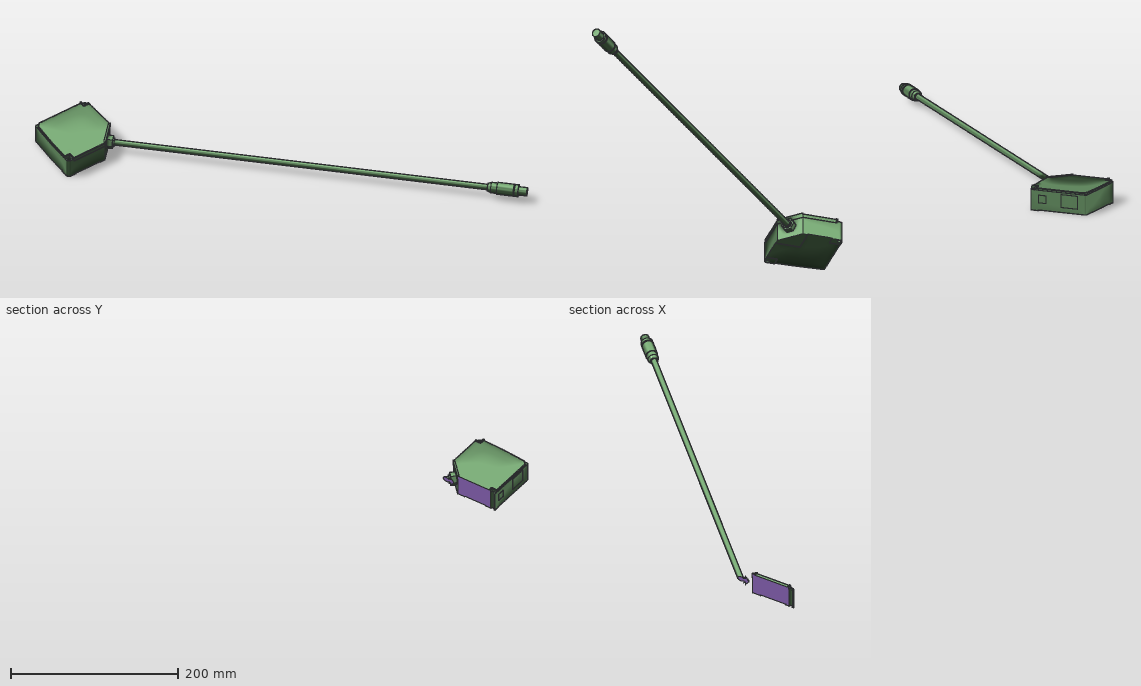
import cadquery as cq
import math

total_x = 427.0
total_y = 430.0
total_z = 29.0

housing_x = 75.0
housing_y = 78.0
corner_cut = 24.0
front_left_y = 4.5
crease_x = 37.5
crease_y = 1.5
front_flat_x = 70.0
screw_corner_round = 4.5
front_left_round = 1.7

foot_height = 1.0
back_foot_x = 13.8
front_foot_y = 11.0
cable_foot_x = 44.5
cable_foot_y = 46.5

lid_base_z = 25.5
lid_top_z = 28.0
lid_inset = 0.2
lid_overhang = 0.65
lid_corner_cut = 5.0
lid_bevel = 1.0
skirt_base_z = 23.0
cable_rim_width = 2.0

pocket_side = 6.5
rim_side = 8.0
screw_diameter = 4.5
screw_inset = 4.0
screw_corners = [(0, housing_y), (housing_x, 0)]

windows = [(26.2, 15.0, 21.0, 16.0), (61.5, 14.5, 9.5, 9.5)]
window_depth = 0.2

axis_z = 14.5
cable_radius = 3.5
nut_corner_diameter = 16.5
nut_length = 7.0
gland_ring_radius = 5.0
gland_ring_length = 1.7
gland_root = 4.5

tip_radius = 5.0
neck_radius = 6.5
plug_stages = [
    (tip_radius, 10.5),
    (7.5, 4.5),
    (7.0, 1.5),
    (7.5, 20.2),
    (neck_radius, 7.5),
]
taper_radius = 4.7
taper_length = 4.5

diagonal = math.sqrt(0.5)
tip_x = total_x - tip_radius * diagonal
tip_y = total_y - tip_radius * diagonal
cut_wall_distance = (tip_x + tip_y - housing_x - housing_y + corner_cut) * diagonal


def slab(points, bottom, top):
    """Vertical prism over a closed outline."""
    return cq.Workplane("XY").workplane(offset=bottom).polyline(points).close().extrude(top - bottom)


def block(x_range, y_range, z_range):
    """Axis-aligned box between limits."""
    (x0, x1), (y0, y1) = x_range, y_range
    return slab([(x0, y0), (x1, y0), (x1, y1), (x0, y1)], *z_range)


def corner_block(corner, side, bottom, top):
    """Square block centred on a corner, so one quarter of it lies inside."""
    x, y = corner
    return block((x - side, x + side), (y - side, y + side), (bottom, top))


def round_corner(body, corner, radius):
    """Round the vertical edge nearest to a corner."""
    nearest = cq.selectors.NearestToPointSelector((*corner, lid_base_z / 2))
    return body.edges("|Z").edges(nearest).fillet(radius)


def housing_prism(bottom, top):
    """Prism over the housing outline with sharp corners."""
    outline = [
        (0, front_left_y),
        (crease_x, crease_y),
        (front_flat_x, 0),
        (housing_x, 0),
        (housing_x, housing_y - corner_cut),
        (housing_x - corner_cut, housing_y),
        (0, housing_y),
    ]
    return slab(outline, bottom, top)


def make_body():
    body = housing_prism(0, lid_base_z)
    body = round_corner(body, (0, front_left_y), front_left_round)
    for corner in screw_corners:
        body = round_corner(body, corner, screw_corner_round)
    return body


def cut_underside(body):
    """Recess the underside so that only the three feet reach the bottom."""
    height = (0, foot_height)
    recess = block((0, housing_x), (0, housing_y), height)
    feet = [
        block((0, back_foot_x), (housing_y - front_foot_y, housing_y), height),
        block((housing_x - back_foot_x, housing_x), (0, front_foot_y), height),
        block((cable_foot_x, housing_x), (cable_foot_y, housing_y), height),
    ]
    for foot in feet:
        recess = recess.cut(foot)
    return body.cut(recess)


def make_lid():
    right = housing_x + lid_overhang
    back = housing_y + lid_overhang
    cut_start = (right, housing_y - corner_cut)
    cut_end = (housing_x - corner_cut, back)
    front_left = front_left_y + lid_inset
    plate = slab(
        [
            (lid_inset, front_left + lid_corner_cut),
            (lid_inset + lid_corner_cut, front_left),
            (crease_x, crease_y + lid_inset),
            (front_flat_x, lid_inset),
            (right, lid_inset),
            cut_start,
            cut_end,
            (lid_inset, back),
        ],
        lid_base_z,
        lid_top_z,
    ).faces(">Z").edges().chamfer(lid_bevel)

    skirt = slab(
        [(right, rim_side), cut_start, cut_end, (rim_side, back)],
        skirt_base_z,
        lid_base_z,
    )
    rim_step = cable_rim_width / diagonal
    cable_rim = slab(
        [
            cut_start,
            cut_end,
            (cut_end[0], cut_end[1] - rim_step),
            (cut_start[0] - rim_step, cut_start[1]),
        ],
        lid_base_z,
        total_z,
    )
    lid = plate.union(skirt).union(cable_rim)
    for corner in screw_corners:
        rim = corner_block(corner, rim_side, lid_base_z, total_z)
        lid = lid.union(rim.intersect(housing_prism(lid_base_z, total_z)))
    return lid


def cut_screw_corners(housing):
    for x, y in screw_corners:
        housing = housing.cut(corner_block((x, y), pocket_side, lid_base_z, total_z))
        hole_x = x + math.copysign(screw_inset, housing_x / 2 - x)
        hole_y = y + math.copysign(screw_inset, housing_y / 2 - y)
        hole = cq.Workplane("XY").center(hole_x, hole_y).circle(screw_diameter / 2).extrude(total_z)
        housing = housing.cut(hole)
    return housing


def cut_windows(housing):
    for y, z, length, height in windows:
        window = cq.Workplane("XY").box(2 * window_depth, length, height)
        housing = housing.cut(window.translate((0, y, z)))
    return housing


def along_axis(distance):
    """Plane across the cable axis, facing the housing, at a distance from the plug's tip."""
    origin = (tip_x - distance * diagonal, tip_y - distance * diagonal, axis_z)
    return cq.Workplane(cq.Plane(origin=origin, xDir=(1, -1, 0), normal=(-1, -1, 0)))


def make_plug():
    plug = cq.Workplane("XY")
    distance = 0
    for radius, length in plug_stages:
        plug = plug.add(along_axis(distance).circle(radius).extrude(length))
        distance += length
    taper_start = along_axis(distance).circle(neck_radius)
    taper = taper_start.workplane(offset=taper_length).circle(taper_radius).loft()
    return plug.add(taper).combine()


def make_gland():
    nut_start = cut_wall_distance - nut_length
    nut = along_axis(nut_start).polygon(6, nut_corner_diameter).extrude(nut_length + gland_root)
    ring = along_axis(nut_start - gland_ring_length).circle(gland_ring_radius).extrude(gland_ring_length)
    return nut.union(ring)


def make_cable():
    start = plug_stages[0][1]
    return along_axis(start).circle(cable_radius).extrude(cut_wall_distance + gland_root - start)


housing = cut_underside(make_body()).union(make_lid())
housing = cut_windows(cut_screw_corners(housing))
result = housing.union(make_gland()).union(make_cable()).union(make_plug())